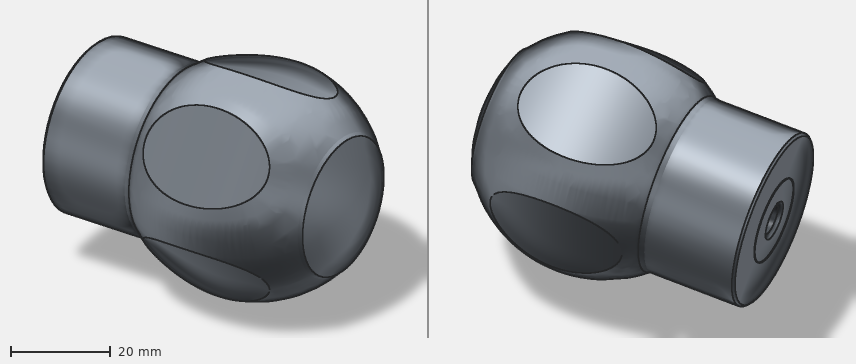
import cadquery as cq
import math

length = 64.0

shank_radius = 18.6
shank_end = 20.0
shank_chamfer = 0.5
neck_end = 21.25

head_radius = 25.0
head_center_x = 38.65
head_arc_radius = 27.85
head_arc_offset = head_arc_radius - head_radius

cap_start = 59.7
dome_start = 60.4
dome_edge_radius = 14.8

pad_count = 5
pad_distance = 22.85
pad_arc_radius = 54.4
pad_cutter_length = 32.0
cutter_size = 64.0

insert_radius = 9.1
seam_width = 0.1
seam_depth = 0.1
hole_radius = 3.3
hole_mouth_radius = 4.1
hole_depth = 20.0


def head_profile_radius(x):
    """Distance from the X axis to the head surface at x."""
    return math.sqrt(head_arc_radius**2 - (x - head_center_x) ** 2) - head_arc_offset


def make_body():
    dome_height = length - dome_start
    dome_radius = (dome_edge_radius**2 + dome_height**2) / (2 * dome_height)
    dome_mid_r = dome_edge_radius / 2
    dome_mid_x = length - dome_radius + math.sqrt(dome_radius**2 - dome_mid_r**2)
    profile = (
        cq.Workplane("XY")
        .moveTo(0, 0)
        .lineTo(0, shank_radius - shank_chamfer)
        .lineTo(shank_chamfer, shank_radius)
        .lineTo(shank_end, shank_radius)
        .lineTo(neck_end, head_profile_radius(neck_end))
        .threePointArc((head_center_x, head_radius), (cap_start, head_profile_radius(cap_start)))
        .lineTo(dome_start, dome_edge_radius)
        .threePointArc((dome_mid_x, dome_mid_r), (length, 0))
        .close()
    )
    return profile.revolve(360, (0, 0, 0), (1, 0, 0))


def make_pad_cutter():
    """Block on the +Y side with a shallow concave cylindrical underside."""
    block = cq.Workplane("XY").box(pad_cutter_length, cutter_size, cutter_size, centered=(True, False, True))
    pad_cylinder = (
        cq.Workplane("XY")
        .center(0, pad_distance - pad_arc_radius)
        .circle(pad_arc_radius)
        .extrude(cutter_size, both=True)
    )
    return block.cut(pad_cylinder).translate((head_center_x, 0, 0))


def make_hole():
    countersink_depth = hole_mouth_radius - hole_radius
    return (
        cq.Workplane("XY")
        .moveTo(0, 0)
        .lineTo(0, hole_mouth_radius)
        .lineTo(countersink_depth, hole_radius)
        .lineTo(hole_depth, hole_radius)
        .lineTo(hole_depth, 0)
        .close()
        .revolve(360, (0, 0, 0), (1, 0, 0))
    )


def make_insert_seam():
    """Fine groove around the insert on the shank face."""
    return (
        cq.Workplane("YZ")
        .circle(insert_radius)
        .circle(insert_radius - seam_width)
        .extrude(seam_depth)
    )


result = make_body()
pad_cutter = make_pad_cutter()
for pad in range(pad_count):
    angle = pad * 360 / pad_count
    result = result.cut(pad_cutter.rotate((0, 0, 0), (1, 0, 0), angle))
result = result.cut(make_hole())
result = result.cut(make_insert_seam())